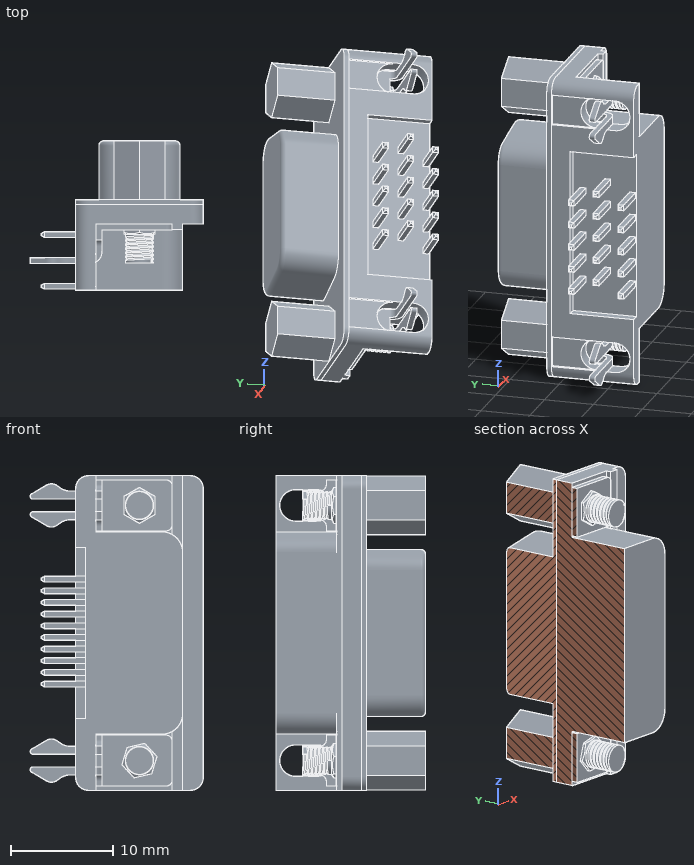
import cadquery as cq
import math


width = 12.5
length = 30.82
corner_radius = 1.3
shell_thickness = 0.5
rim_back = -2.4
step_back = -2.93
housing_back = -8.88
body_width = 10.48
body_half_length = 9.9
body_radius = 2.0
wall_thickness = 2.0

nose_width = 7.95
nose_depth = 5.75
nose_narrow_half = 7.18
nose_draft = 10.0
nose_radius = 2.03
nose_rim_radius = 0.5

mid_x = width / 2
screw_z = 12.48
thread_diameter = 2.7
thread_pitch = 0.4
thread_depth = 0.12
groove_half_mouth = 0.2
groove_clearance = 0.03
screw_tip = -6.23
head_flats = 5.0
nut_flats = 3.05
nut_height = 0.43
nut_face_radius = 1.4
nut_chamfer_angle = 30.0
nut_turns = {1: 0.0, -1: 17.0}

sheet = 0.6
plate_end = 9.45
plate_half = 2.5
plate_corner_radius = 0.62
shoulder_y = -3.95
shoulder_radius = 0.62
prong_half = 1.42
slit_half = 0.62
bend_inner_radius = 0.55
prong_back = -6.25
bend_outer_radius = bend_inner_radius + sheet
bend_x = wall_thickness + sheet - bend_outer_radius
bend_y = prong_back + bend_outer_radius
prong_root_x = -0.5
prong_hollow = (-1.08, 1.5)
barb_foot = (-1.57, 1.8)
barb_back = (-1.8, 1.95)
barb_peak = (-2.35, 2.13)
barb_front = (-2.87, 1.97)
tip_outside = (-4.28, 1.15)
prong_tip = (-4.45, 0.85)
tip_inside_x = -4.22

slot_width = 3.05
slot_length = 5.1
slot_y = -5.95
channel_depth = 0.3
recess_depth = 1.0
recess_half = 8.35

pin_size = 0.6
pin_reach = 3.35
pin_tip_length = 0.35
pin_tip_size = 0.22
pin_pitch = 2.28
pins_per_row = 5
pin_row_spacing = 2.53
middle_row_z = 0.7


def box(x_range, y_range, z_range):
    """Box between two limits on each axis."""
    (x0, x1), (y0, y1), (z0, z1) = x_range, y_range, z_range
    return cq.Workplane("XY").box(x1 - x0, y1 - y0, z1 - z0, centered=False).translate((x0, y0, z0))


def rod(diameter, y_start, y_end, z):
    """Cylinder along Y on a screw axis."""
    return (
        cq.Workplane("XZ", origin=(mid_x, y_start, z))
        .circle(diameter / 2)
        .extrude(y_start - y_end)
    )


def hex_bar(flats, y_start, y_end):
    """Hexagonal bar along Y with a corner pointing to +Z, centred on X = Z = 0."""
    return (
        cq.Workplane("XZ", origin=(0, y_start, 0))
        .polygon(6, flats / math.cos(math.radians(30)))
        .extrude(y_start - y_end)
        .rotate((0, 0, 0), (0, 1, 0), 30)
    )


def make_shell():
    """Flange plate with the D-shaped nose."""
    plate = (
        box((0, width), (-shell_thickness, 0), (-length / 2, length / 2))
        .edges("|Y")
        .fillet(corner_radius)
    )
    narrow_x = mid_x - nose_width / 2
    wide_x = mid_x + nose_width / 2
    wide_half = nose_narrow_half + nose_width * math.tan(math.radians(nose_draft))
    nose = (
        cq.Workplane("XZ")
        .moveTo(narrow_x, -nose_narrow_half)
        .lineTo(wide_x, -wide_half)
        .lineTo(wide_x, wide_half)
        .lineTo(narrow_x, nose_narrow_half)
        .close()
        .extrude(-nose_depth)
        .edges("|Y")
        .fillet(nose_radius)
        .faces(">Y")
        .edges()
        .fillet(nose_rim_radius)
    )
    shell = plate.union(nose)
    for side in (1, -1):
        shell = shell.cut(rod(thread_diameter, 0, -shell_thickness, side * screw_z))
    return shell


def make_pin(y, z):
    """Square pin with a tapered tip, starting on the floor of the pin recess."""
    shaft_end = pin_tip_length - pin_reach
    shaft = (
        cq.Workplane("YZ", origin=(recess_depth, y, z))
        .rect(pin_size, pin_size)
        .extrude(shaft_end - recess_depth)
    )
    tip = (
        cq.Workplane("YZ", origin=(shaft_end, y, z))
        .rect(pin_size, pin_size)
        .workplane(offset=-pin_tip_length)
        .rect(pin_tip_size, pin_tip_size)
        .loft()
    )
    return shaft.union(tip)


def make_housing():
    """Flange, board-side wall and body, with the pins moulded in."""
    half = length / 2
    front = -shell_thickness
    rim = box((0, width), (rim_back, front), (-half, half))
    step = box((0, body_width), (step_back, front), (-half, half))
    wall = box((0, wall_thickness), (housing_back, front), (-half, half))
    housing = rim.union(step).union(wall)
    corners = box((0, width), (housing_back, front), (-half, half)).edges("|Y").fillet(corner_radius)
    housing = housing.intersect(corners)

    for z_range in ((0, half), (-half, 0)):
        housing = housing.cut(box((wall_thickness, plate_end), (step_back, rim_back), z_range))

    body = (
        box((0, body_width), (housing_back, front), (-body_half_length, body_half_length))
        .edges("|Y and >X")
        .fillet(body_radius)
    )
    housing = housing.union(body)

    recess = box((0, recess_depth), (housing_back, rim_back), (-recess_half, recess_half))
    housing = housing.cut(recess)

    for side in (1, -1):
        z = side * screw_z
        slot = (
            cq.Workplane("YZ", origin=(0, slot_y, z))
            .slot2D(slot_length, slot_width)
            .extrude(wall_thickness)
        )
        channel = box((0, channel_depth), (slot_y, front), (z - slot_width / 2, z + slot_width / 2))
        housing = housing.cut(slot).cut(channel).cut(rod(thread_diameter, front, step_back, z))

    for row in (-1, 0, 1):
        row_z = middle_row_z - abs(row) * pin_pitch / 2
        for index in range(pins_per_row):
            pin_z = row_z + (index - (pins_per_row - 1) / 2) * pin_pitch
            housing = housing.union(make_pin(slot_y + row * pin_row_spacing, pin_z))
    return housing


def make_prong():
    """Upper snap-in prong, lying flat in the XZ plane, for a bracket centred on Z = 0."""
    return (
        cq.Workplane("XZ", origin=(0, prong_back + sheet, 0))
        .moveTo(bend_x, slit_half)
        .lineTo(bend_x, prong_half)
        .lineTo(prong_root_x, prong_half)
        .threePointArc(prong_hollow, barb_foot)
        .lineTo(*barb_back)
        .threePointArc(barb_peak, barb_front)
        .lineTo(*tip_outside)
        .threePointArc(prong_tip, (tip_inside_x, slit_half))
        .close()
        .extrude(sheet)
    )


def make_bracket(side):
    """Bent sheet: plate under the nut, leg along the wall and two prongs through the slot."""
    leg_x = wall_thickness + sheet
    plate_back = rim_back - sheet
    plate = (
        box((wall_thickness, plate_end), (plate_back, rim_back), (-plate_half, plate_half))
        .edges("|Y and >X")
        .fillet(plate_corner_radius)
    )
    shoulder = box((wall_thickness, leg_x), (shoulder_y, rim_back), (-plate_half, plate_half))
    fillet_edge = prong_half + shoulder_radius
    fillet_end = shoulder_y - shoulder_radius
    neck = (
        cq.Workplane("YZ", origin=(wall_thickness, 0, 0))
        .moveTo(shoulder_y, -fillet_edge)
        .radiusArc((fillet_end, -prong_half), -shoulder_radius)
        .lineTo(bend_y, -prong_half)
        .lineTo(bend_y, prong_half)
        .lineTo(fillet_end, prong_half)
        .radiusArc((shoulder_y, fillet_edge), -shoulder_radius)
        .close()
        .extrude(sheet)
    )
    diagonal = math.sqrt(0.5)
    bend = (
        cq.Workplane("XY", origin=(bend_x, bend_y, -prong_half))
        .moveTo(bend_inner_radius, 0)
        .lineTo(bend_outer_radius, 0)
        .threePointArc(
            (bend_outer_radius * diagonal, -bend_outer_radius * diagonal), (0, -bend_outer_radius)
        )
        .lineTo(0, -bend_inner_radius)
        .threePointArc(
            (bend_inner_radius * diagonal, -bend_inner_radius * diagonal), (bend_inner_radius, 0)
        )
        .close()
        .extrude(2 * prong_half)
    )
    slit = box((bend_x, leg_x), (prong_back, bend_y), (-slit_half, slit_half))
    prong = make_prong()
    bracket = (
        plate.union(shoulder)
        .union(neck)
        .union(bend.cut(slit))
        .union(prong)
        .union(prong.mirror("XY"))
        .translate((0, 0, side * screw_z))
    )
    return bracket.cut(rod(thread_diameter, rim_back, plate_back, side * screw_z))


def make_nut(side):
    """Thin hexagon nut against the bracket plate, its outer end chamfered by a cone."""
    seat = rim_back - sheet
    end = seat - nut_height
    cone_radius = nut_flats
    cone_rise = (cone_radius - nut_face_radius) * math.tan(math.radians(nut_chamfer_angle))
    cone = (
        cq.Workplane("XY")
        .moveTo(0, end)
        .lineTo(nut_face_radius, end)
        .lineTo(cone_radius, end + cone_rise)
        .lineTo(0, end + cone_rise)
        .close()
        .revolve(360, (0, 0, 0), (0, 1, 0))
    )
    nut = (
        hex_bar(nut_flats, seat, end)
        .intersect(cone)
        .rotate((0, 0, 0), (0, 1, 0), nut_turns[side])
        .translate((mid_x, 0, side * screw_z))
    )
    return nut.cut(rod(thread_diameter, seat, end, side * screw_z))


def make_screw(side):
    """Jackscrew: hexagon head in front of the flange and a shank with a helical thread."""
    radius = thread_diameter / 2
    thread_start = rim_back - sheet - nut_height
    thread_length = thread_start - screw_tip
    helix = cq.Wire.makeHelix(thread_pitch, thread_length - 2 * groove_half_mouth, radius)
    mouth_radius = radius + groove_clearance
    groove = (
        cq.Workplane("XZ")
        .moveTo(radius - thread_depth, 0)
        .lineTo(mouth_radius, groove_half_mouth)
        .lineTo(mouth_radius, -groove_half_mouth)
        .close()
        .sweep(cq.Workplane(helix), isFrenet=True)
        .rotate((0, 0, 0), (1, 0, 0), 90)
        .translate((mid_x, thread_start - groove_half_mouth, side * screw_z))
    )
    head = hex_bar(head_flats, nose_depth, 0).translate((mid_x, 0, side * screw_z))
    shank = rod(thread_diameter, 0, screw_tip, side * screw_z).cut(groove)
    return head.union(shank)


shell = make_shell()
housing = make_housing()
bodies = [shell.solids().val(), housing.solids().val()]
for side in (1, -1):
    for make_body in (make_bracket, make_nut, make_screw):
        bodies.append(make_body(side).solids().val())

result = cq.Compound.makeCompound(bodies)